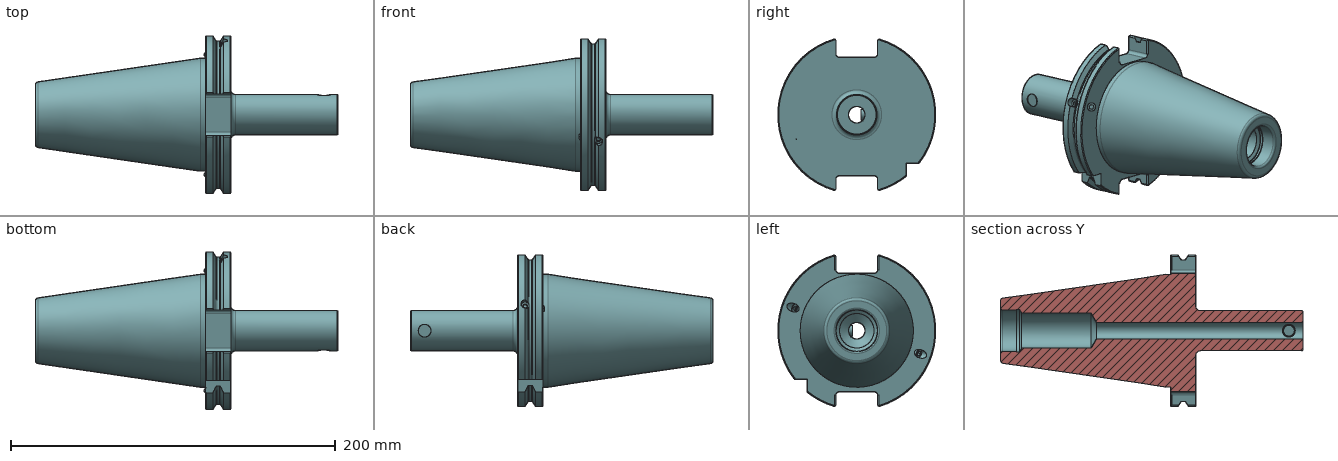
import cadquery as cq
import math


gauge_radius = 34.9
taper_length = 101.7
small_end_radius = gauge_radius - taper_length * 7 / 48
small_end_round = 1.9

flange_radius = 48.7
flange_start = 3.2
flange_end = 18.8
flange_chamfer = 0.5
groove_centre = 11.0
groove_root_radius = 45.5
groove_root_width = 2.6
groove_mouth_width = 6.7
groove_root_fillet = 0.7

slot_width = 25.5
slot_root_round = 2.0
slot_edge_chamfer = 1.0
upper_slot_floor = 35.5
lower_slot_floor = 37.7
notch_y = 30.6
notch_z = 30.0

total_length = 186.6
shank_end = total_length - taper_length
shank_radius = 12.5
shank_root_fillet = 2.8
shank_end_chamfer = 0.5

bore_mouth_round = 1.3
pilot_radius = 12.7
pilot_depth = 10.0
relief_radius = 13.0
relief_width = 1.9
thread_core_radius = 10.6
thread_depth = 56.0
thread_entry_angle = 60.0
drill_cone_angle = 60.0
through_bore_radius = 5.0

plug_angle = 20.0
plug_radius = 2.52
plug_length = 4.7
plug_hole_run_out = 5.6
socket_flats = 2.6
socket_depth = 2.2
face_plug_distance = 41.8
face_plug_tilt = 40.0
face_plug_recess = 1.3
rim_plug_x = 14.2
rim_plug_top = 44.8

clamp_x = shank_end - 8.8
clamp_radius = 4.0
clamp_dog_radius = 3.4
clamp_dog_length = 3.0
clamp_tip = 2.6
clamp_top = 12.0


def around_axis(shape, angle):
    return shape.rotate((0, 0, 0), (1, 0, 0), angle)


def revolve_profile(points):
    """Solid of revolution about X from a closed loop of (x, radius) points."""
    return cq.Workplane("XY").polyline(points).close().revolve(360, (0, 0, 0), (1, 0, 0))


def make_taper():
    cone = revolve_profile([
        (-taper_length, 0),
        (-taper_length, small_end_radius),
        (0, gauge_radius),
        (flange_start, gauge_radius),
        (flange_start, 0),
    ])
    return cone.faces("<X").edges().fillet(small_end_round)


def make_slot(floor):
    """Drive slot open towards +Z, with its wall edges chamfered on the taper side and at the rim."""
    width_x = flange_end - flange_start
    half = slot_width / 2
    slot = (
        cq.Workplane("XY")
        .box(width_x, slot_width, flange_radius, centered=(False, True, False))
        .faces("<Z").edges("|X").fillet(slot_root_round)
    )
    entry = (
        cq.Workplane("XY", origin=(0, 0, slot_root_round))
        .polyline([
            (0, -half - slot_edge_chamfer),
            (slot_edge_chamfer, -half),
            (slot_edge_chamfer, half),
            (0, half + slot_edge_chamfer),
        ])
        .close()
        .extrude(flange_radius)
    )
    flare_height = 2 * slot_edge_chamfer
    rim_corner = math.sqrt(flange_radius**2 - (half + slot_edge_chamfer)**2) - floor
    flare_bottom = rim_corner - slot_edge_chamfer
    flare_top = flare_bottom + flare_height
    flare = (
        cq.Workplane("YZ")
        .polyline([
            (-half, flare_bottom),
            (-half - flare_height, flare_top),
            (half + flare_height, flare_top),
            (half, flare_bottom),
        ])
        .close()
        .extrude(width_x)
    )
    return slot.union(entry).union(flare).translate((flange_start, 0, floor))


def make_notch():
    """Orientation notch: a square-cornered bite out of the rim on the +Y, -Z side."""
    return (
        cq.Workplane("XY")
        .box(flange_end - flange_start, flange_radius, flange_radius, centered=False)
        .translate((flange_start, notch_y, -notch_z - flange_radius))
    )


def make_groove():
    """Ring with the V section of the gripper groove, rounded at its root."""
    root_half = groove_root_width / 2
    mouth_half = groove_mouth_width / 2
    ring = revolve_profile([
        (groove_centre - root_half, groove_root_radius),
        (groove_centre - mouth_half, flange_radius),
        (groove_centre + mouth_half, flange_radius),
        (groove_centre + root_half, groove_root_radius),
    ])
    return ring.edges(cq.selectors.RadiusNthSelector(0)).fillet(groove_root_fillet)


def make_flange():
    thickness = flange_end - flange_start
    disc = cq.Workplane("YZ", origin=(flange_start, 0, 0)).circle(flange_radius).extrude(thickness)
    disc = disc.edges().chamfer(flange_chamfer)
    upper_slot = make_slot(upper_slot_floor)
    lower_slot = around_axis(make_slot(lower_slot_floor), 180)
    return disc.cut(upper_slot).cut(lower_slot).cut(make_notch()).cut(make_groove())


def make_shank():
    arc_middle = shank_root_fillet * (1 - math.sqrt(0.5))
    return (
        cq.Workplane("XY")
        .moveTo(flange_end, 0)
        .lineTo(flange_end, shank_radius + shank_root_fillet)
        .threePointArc(
            (flange_end + arc_middle, shank_radius + arc_middle),
            (flange_end + shank_root_fillet, shank_radius),
        )
        .lineTo(shank_end - shank_end_chamfer, shank_radius)
        .lineTo(shank_end, shank_radius - shank_end_chamfer)
        .lineTo(shank_end, 0)
        .close()
        .revolve(360, (0, 0, 0), (1, 0, 0))
    )


def cone_length(large_radius, small_radius, half_angle):
    return (large_radius - small_radius) / math.tan(math.radians(half_angle))


def make_bore():
    mouth = -taper_length
    arc_middle = bore_mouth_round * (1 - math.sqrt(0.5))
    relief_start = mouth + pilot_depth
    relief_end = relief_start + relief_width
    thread_start = relief_end + cone_length(pilot_radius, thread_core_radius, thread_entry_angle)
    thread_end = mouth + thread_depth
    cone_end = thread_end + cone_length(thread_core_radius, through_bore_radius, drill_cone_angle)
    return (
        cq.Workplane("XY")
        .moveTo(mouth, 0)
        .lineTo(mouth, pilot_radius + bore_mouth_round)
        .threePointArc(
            (mouth + arc_middle, pilot_radius + arc_middle),
            (mouth + bore_mouth_round, pilot_radius),
        )
        .lineTo(relief_start, pilot_radius)
        .lineTo(relief_start, relief_radius)
        .lineTo(relief_end, relief_radius)
        .lineTo(relief_end, pilot_radius)
        .lineTo(thread_start, thread_core_radius)
        .lineTo(thread_end, thread_core_radius)
        .lineTo(cone_end, through_bore_radius)
        .lineTo(shank_end, through_bore_radius)
        .lineTo(shank_end, 0)
        .close()
        .revolve(360, (0, 0, 0), (1, 0, 0))
    )


def make_plug():
    """Set screw with a hexagon socket, top face at the origin and body along -Z."""
    socket_corners = socket_flats / math.cos(math.radians(30))
    return (
        cq.Workplane("XY")
        .circle(plug_radius)
        .extrude(-plug_length)
        .faces(">Z").workplane()
        .polygon(6, socket_corners)
        .cutBlind(-socket_depth)
    )


def make_plug_hole():
    """Blind hole for a plug, running out past its top face to open at the surface."""
    height = plug_length + plug_hole_run_out
    return cq.Workplane("XY", origin=(0, 0, -plug_length)).circle(plug_radius).extrude(height)


def place_face_plug(shape, angle):
    """Sink into the taper-side face, leaning towards the axis."""
    sunk = shape.translate((0, 0, -face_plug_recess))
    leaning = sunk.rotate((0, 0, 0), (0, 1, 0), -face_plug_tilt)
    placed = leaning.translate((flange_start, 0, face_plug_distance))
    return around_axis(placed, angle)


def place_rim_plug(shape, angle):
    """Stand radially in the rim."""
    return around_axis(shape.translate((rim_plug_x, 0, rim_plug_top)), angle)


def make_clamp_cylinder(radius, start, end):
    """Cylinder on the clamp screw's axis, between two heights along +Y."""
    return cq.Workplane("XZ", origin=(clamp_x, start, 0)).circle(radius).extrude(start - end)


def make_clamp_screw():
    """Screw with a narrower dog point that reaches into the through bore."""
    dog_end = clamp_tip + clamp_dog_length
    dog = make_clamp_cylinder(clamp_dog_radius, clamp_tip, dog_end)
    return dog.union(make_clamp_cylinder(clamp_radius, dog_end, clamp_top))


def make_holder():
    """Taper, flange and shank in one piece, with the bore and all the screw holes."""
    holder = make_taper().union(make_flange()).union(make_shank()).cut(make_bore())
    for place in plug_placers:
        for angle in plug_positions:
            holder = holder.cut(place(make_plug_hole(), angle))
    return holder.cut(make_clamp_cylinder(clamp_radius, clamp_tip, shank_radius))


plug_positions = [plug_angle - 90, plug_angle + 90]
plug_placers = [place_face_plug, place_rim_plug]

holder = make_holder()
face_plugs = [place_face_plug(make_plug(), angle).val() for angle in plug_positions]
rim_plugs = [place_rim_plug(make_plug(), angle).val() for angle in plug_positions]
clamp_screw = make_clamp_screw()

result = cq.Compound.makeCompound([holder.val(), *face_plugs, *rim_plugs, clamp_screw.val()])